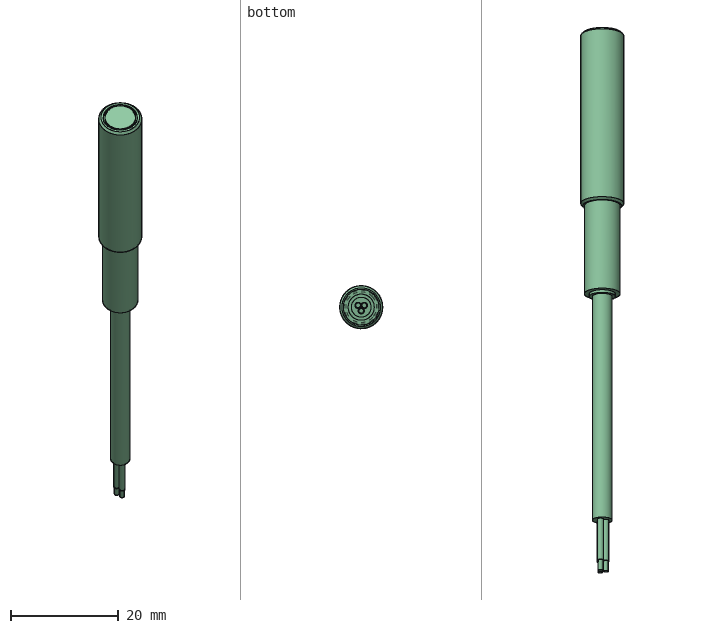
import cadquery as cq
import math

total_height = 105.5
conductor_length = 2.0
wire_end_length = 10.0
collar_bottom = 53.9
sleeve_bottom = 54.4
housing_bottom = 71.7

housing_diameter = 8.0
housing_chamfer = 0.4
sleeve_diameter = 6.6
collar_diameter = 4.9

face_diameter = 5.7
groove_width = 0.3
groove_depth = 0.3

cable_diameter = 3.7
wire_diameter = 1.2
conductor_diameter = 0.9
wire_count = 3
wire_circle_radius = wire_diameter / (2 * math.sin(math.pi / wire_count))
first_wire_angle = 90.0


def cylinder(diameter, bottom, top):
    """Upright cylinder on the Z axis between two heights."""
    return cq.Workplane("XY").workplane(offset=bottom).circle(diameter / 2).extrude(top - bottom)


def make_sensor():
    """Housing with its stepped cable outlet and the groove around its sensing face."""
    housing = cylinder(housing_diameter, housing_bottom, total_height).edges("%CIRCLE").chamfer(housing_chamfer)
    sleeve = cylinder(sleeve_diameter, sleeve_bottom, housing_bottom)
    collar = cylinder(collar_diameter, collar_bottom, sleeve_bottom)
    groove_floor = total_height - groove_depth
    groove = cylinder(face_diameter + 2 * groove_width, groove_floor, total_height).cut(
        cylinder(face_diameter, groove_floor, total_height)
    )
    return housing.union(sleeve).union(collar).cut(groove)


def make_cable():
    """Cable jacket from the collar down to the exposed wires."""
    return cylinder(cable_diameter, wire_end_length, collar_bottom)


def wire_position(index):
    """Offset of one wire from the cable axis; the first wire lies toward +Y."""
    angle = math.radians(first_wire_angle + index * 360 / wire_count)
    return (wire_circle_radius * math.cos(angle), wire_circle_radius * math.sin(angle), 0)


def make_insulation(index):
    """Exposed insulated length of one wire."""
    return cylinder(wire_diameter, conductor_length, wire_end_length).translate(wire_position(index))


def make_conductor(index):
    """Bare conductor end below the insulation of one wire."""
    return cylinder(conductor_diameter, 0, conductor_length).translate(wire_position(index))


sensor = make_sensor()
cable = make_cable()
insulations = [make_insulation(index) for index in range(wire_count)]
conductors = [make_conductor(index) for index in range(wire_count)]

result = cq.Compound.makeCompound([
    sensor.val(),
    cable.val(),
    *[insulation.val() for insulation in insulations],
    *[conductor.val() for conductor in conductors],
])